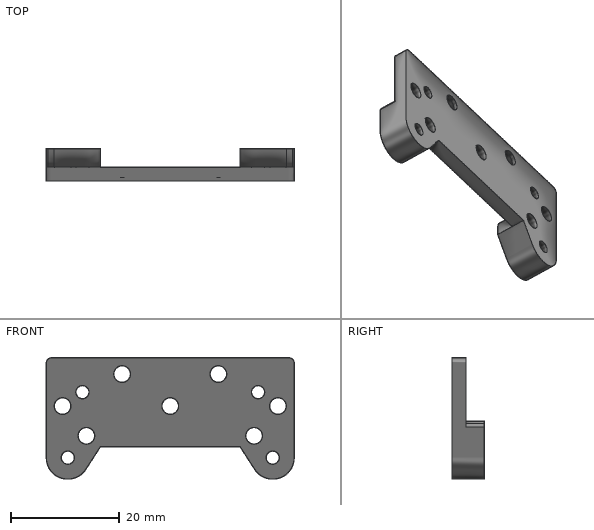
import cadquery as cq
import math

length = 45.75
height = 22.4
depth = 6.0
plate_thickness = 2.6
top_corner_radius = 1.0

foot_radius = 4.0
notch_height = 6.0
notch_half_width = 12.85

pad_top = 10.7
pad_inner_radius = 2.9
pad_slope_width = 1.1
pad_slope_drop = 0.4
pad_bevel_width = 0.35
pad_bevel_height = 0.65

large_hole = 3.0
small_hole = 2.4
upper_hole_x = 8.9
upper_hole_z = height - large_hole
side_hole_x = 19.85
side_hole_z = 13.5
lower_hole_x = 15.45
lower_hole_z = 8.0
inner_hole_x = 16.2
inner_hole_z = 16.05
counterbore_diameter = 5.7
counterbore_floor = 0.7

half_length = length / 2
foot_x = half_length - foot_radius
foot_z = foot_radius


def front_plane(y=0):
    """XZ work plane at the given Y, extruding toward +Y."""
    return cq.Workplane("XZ", origin=(0, y, 0))


def foot_tangent_point():
    """Point where the sloped notch side meets the right foot arc."""
    dx = notch_half_width - foot_x
    dz = notch_height - foot_z
    angle = math.atan2(dz, dx) + math.acos(foot_radius / math.hypot(dx, dz))
    return foot_x + foot_radius * math.cos(angle), foot_z + foot_radius * math.sin(angle)


def make_outline(thickness):
    """Rectangle with round feet, cut away between them."""
    tangent_x, tangent_z = foot_tangent_point()
    arc_mid = foot_radius * math.sqrt(0.5)
    return (
        front_plane()
        .moveTo(-half_length, height)
        .lineTo(half_length, height)
        .lineTo(half_length, foot_z)
        .threePointArc((foot_x + arc_mid, foot_z - arc_mid), (foot_x, 0))
        .threePointArc((foot_x - arc_mid, foot_z - arc_mid), (tangent_x, tangent_z))
        .lineTo(notch_half_width, notch_height)
        .lineTo(-notch_half_width, notch_height)
        .lineTo(-tangent_x, tangent_z)
        .threePointArc((arc_mid - foot_x, foot_z - arc_mid), (-foot_x, 0))
        .threePointArc((-foot_x - arc_mid, foot_z - arc_mid), (-half_length, foot_z))
        .close()
        .extrude(-thickness)
    )


def make_pad_region(side):
    """Block bounding one pad: round inner corner, outer corner bevelled in two steps."""
    bevel_x = half_length - pad_bevel_width
    slope_end_z = pad_top - pad_slope_drop
    inner_mid = pad_inner_radius * (1 - math.sqrt(0.5))
    return (
        front_plane(plate_thickness)
        .moveTo(side * notch_half_width, 0)
        .lineTo(side * notch_half_width, pad_top - pad_inner_radius)
        .threePointArc(
            (side * (notch_half_width + inner_mid), pad_top - inner_mid),
            (side * (notch_half_width + pad_inner_radius), pad_top),
        )
        .lineTo(side * (bevel_x - pad_slope_width), pad_top)
        .lineTo(side * bevel_x, slope_end_z)
        .lineTo(side * half_length, slope_end_z - pad_bevel_height)
        .lineTo(side * half_length, 0)
        .close()
        .extrude(plate_thickness - depth)
    )


def make_cylinders(points, diameter, start=0):
    """Cutters running along +Y from the given start through the back."""
    return front_plane(start).pushPoints(points).circle(diameter / 2).extrude(start - depth)


def mirrored(x, z):
    return [(-x, z), (x, z)]


plate = make_outline(plate_thickness).edges("|Y and >Z").fillet(top_corner_radius)
full_outline = make_outline(depth)
body = plate
for side in (-1, 1):
    body = body.union(full_outline.intersect(make_pad_region(side)))

upper_holes = mirrored(upper_hole_x, upper_hole_z)
large_holes = (
    upper_holes
    + mirrored(side_hole_x, side_hole_z)
    + mirrored(lower_hole_x, lower_hole_z)
    + [(0, side_hole_z)]
)
small_holes = mirrored(inner_hole_x, inner_hole_z) + mirrored(foot_x, foot_z)
body = body.cut(make_cylinders(large_holes, large_hole))
body = body.cut(make_cylinders(small_holes, small_hole))

result = body.cut(make_cylinders(upper_holes, counterbore_diameter, counterbore_floor))